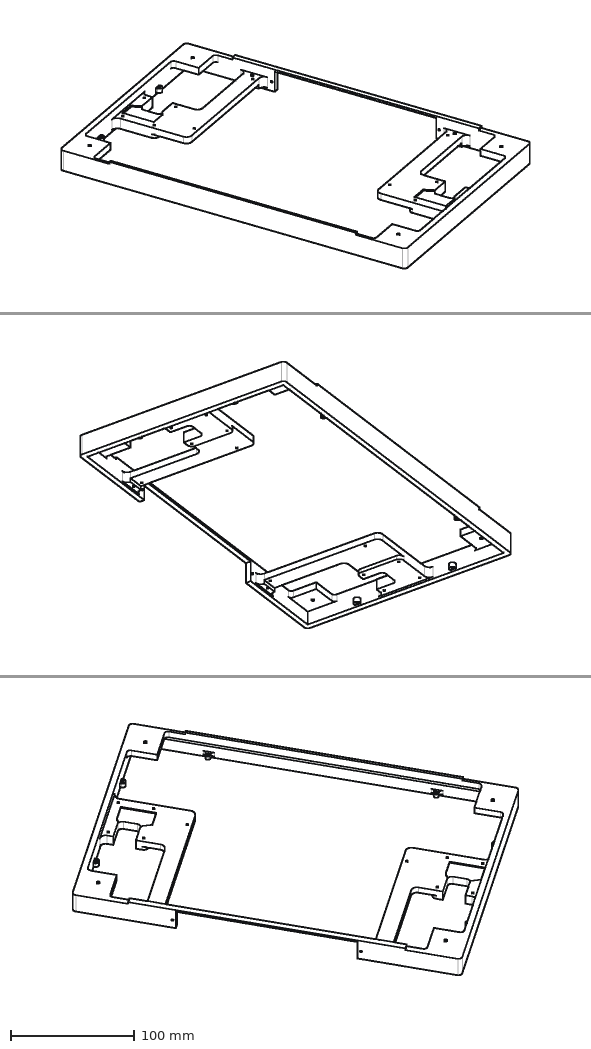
import cadquery as cq
LENGTH = 324.5
WIDTH = 203.0
HEIGHT = 20.8
LIP_HEIGHT = 2.0
WALL_TOP = HEIGHT - LIP_HEIGHT
SIDE_WALL = 5.5
END_WALL = 5.0
INNER_X = LENGTH / 2 - SIDE_WALL
INNER_Y = WIDTH / 2 - END_WALL
OUTER_RADIUS = 3.2
INNER_RADIUS = 3.0

LIP_LENGTH = 231.0
FRONT_LIP_WALL = 2.3

WINDOW_LENGTH = 151.2

PAD_X = 132.0
PAD_Y = 71.0
PAD_THICKNESS = 6.5
PAD_BOTTOM = WALL_TOP - PAD_THICKNESS
PAD_HOLE_X = 144.8
PAD_HOLE_Y = 83.0

SCREW_HOLE = 1.6
PAD_HOLE = 2.5

MOUNT_BOTTOM = 2.0

EAR_TOP = 6.2
SIDE_EAR_Y = 47.0
SIDE_EAR_RADIUS = 3.0
SIDE_EAR_REACH = 1.3
END_EAR_X = 95.0
END_EAR_RADIUS = 2.1
END_EAR_REACH = 3.08
END_EAR_FLARE = 2.5
COUNTERBORE = 2.5
COUNTERBORE_DEPTH = 1.5

PLATE_TOP = 11.7
PLATE_THICKNESS = 6.2
PLATE_BOTTOM = PLATE_TOP - PLATE_THICKNESS
PLATE_Y = 21.7
ARM_INNER_X = 87.5
ARM_OUTER_X = 102.5
PLATE_RADIUS = 5.0
PLATE_HOLES = [(152.0, 17.5), (152.0, -17.2), (122.5, 17.5), (122.5, -17.2), (91.5, -5.5), (91.5, 88.3)]

THICK_X = 118.0
THICK_RADIUS = 4.2

SLOT_INNER_X = 128.0
SLOT_OUTER_X = 146.7
SLOT_END_Y = 2.0
SLOT_RADIUS = 3.5
POCKET_LENGTH = 29.5
POCKET_FRONT_Y = -13.0
POCKET_SHOULDER_Y = 1.3
POCKET_BACK_Y = 5.0
POCKET_DEPTH = 1.3
POCKET_LEFT_X = (-154.8, 119.0)
POCKET_LEFT_RUN = 8.0
POCKET_RIGHT_RUN = 2.5

WALL_HOLE_X = 78.5
WALL_HOLE_Z = 8.8

SIDES = (-1, 1)


def block(x_range, y_range, z_range):
    """A box between the given limits along X, Y and Z."""
    size = [high - low for low, high in (x_range, y_range, z_range)]
    corner = (x_range[0], y_range[0], z_range[0])
    return cq.Workplane("XY").box(*size, centered=False).translate(corner)


def upright_holes(points, diameter):
    return cq.Workplane("XY").pushPoints(points).circle(diameter / 2).extrude(HEIGHT)


def corner_filler(x, y, x_side, y_side, radius, z_range):
    """Concave fillet in the corner at (x, y), between faces leaving along x_side and y_side."""
    low, high = z_range
    far_x = x + x_side * radius
    far_y = y + y_side * radius
    square = cq.Workplane("XY").rect(radius, radius).extrude(high - low)
    square = square.translate(((x + far_x) / 2, (y + far_y) / 2, low))
    round_cut = cq.Workplane("XY").circle(radius).extrude(high - low).translate((far_x, far_y, low))
    return square.cut(round_cut)


def frame():
    body = cq.Workplane("XY").rect(LENGTH, WIDTH).extrude(HEIGHT)
    body = body.edges("|Z").fillet(OUTER_RADIUS)

    body = body.cut(block((-INNER_X, INNER_X), (-INNER_Y, INNER_Y), (0, PAD_BOTTOM)))
    upper = (PAD_BOTTOM, HEIGHT)
    between_sides = block((-INNER_X, INNER_X), (-PAD_Y, PAD_Y), upper)
    front_y = FRONT_LIP_WALL - WIDTH / 2
    between_ends = block((-PAD_X, PAD_X), (front_y, INNER_Y), upper)
    for opening in (between_sides, between_ends):
        body = body.cut(opening.edges("|Z").fillet(INNER_RADIUS))

    above = cq.Workplane("XY").workplane(offset=WALL_TOP).rect(LENGTH, WIDTH).extrude(LIP_HEIGHT)
    lips = cq.Workplane("XY").workplane(offset=WALL_TOP).rect(LIP_LENGTH, WIDTH).extrude(LIP_HEIGHT)
    body = body.cut(above.cut(lips))

    window_x = (-WINDOW_LENGTH / 2, WINDOW_LENGTH / 2)
    body = body.cut(block(window_x, (INNER_Y, WIDTH / 2), (0, WALL_TOP)))

    pad_holes = [(sx * PAD_HOLE_X, sy * PAD_HOLE_Y) for sx in SIDES for sy in SIDES]
    body = body.cut(upright_holes(pad_holes, PAD_HOLE))
    wall_holes = cq.Workplane("XZ").pushPoints([(side * WALL_HOLE_X, WALL_HOLE_Z) for side in SIDES])
    return body.cut(wall_holes.circle(SCREW_HOLE / 2).extrude(-WIDTH / 2))


def counterbored_hole(top):
    """Counterbored hole on the Z axis, with its mouth at the given level."""
    bore = cq.Workplane("XY").circle(SCREW_HOLE / 2).extrude(top)
    mouth = cq.Workplane("XY").workplane(offset=top).circle(COUNTERBORE / 2).extrude(-COUNTERBORE_DEPTH)
    return bore.union(mouth)


def ear(radius, reach):
    """Round-ended ear on a wall along Y = 0, reaching toward +Y."""
    outline = cq.Workplane("XY").workplane(offset=MOUNT_BOTTOM).moveTo(-radius, 0)
    outline = outline.lineTo(-radius, reach)
    outline = outline.threePointArc((0, reach + radius), (radius, reach))
    outline = outline.lineTo(radius, 0).close()
    return outline.extrude(EAR_TOP - MOUNT_BOTTOM).cut(counterbored_hole(EAR_TOP).translate((0, reach, 0)))


def flared_ear():
    """Ear whose sides run into the wall through concave fillets."""
    body = ear(END_EAR_RADIUS, END_EAR_REACH)
    for side in SIDES:
        x = side * END_EAR_RADIUS
        body = body.union(corner_filler(x, 0, side, 1, END_EAR_FLARE, (MOUNT_BOTTOM, EAR_TOP)))
    return body


def right_plate():
    """Plate on the +X side, without its pocket."""
    z_range = (PLATE_BOTTOM, PLATE_TOP)
    thick_range = (MOUNT_BOTTOM, PLATE_TOP)
    pad = block((ARM_INNER_X, INNER_X), (-PLATE_Y, PLATE_Y), z_range)
    pad = pad.edges("|Z and <X and <Y").fillet(PLATE_RADIUS)
    arm = block((ARM_INNER_X, ARM_OUTER_X), (0, INNER_Y), z_range)
    thick = block((THICK_X, INNER_X), (-PLATE_Y, PLATE_Y), thick_range)
    thick = thick.edges("|Z and <X").fillet(THICK_RADIUS)
    arm_end = block((ARM_INNER_X, ARM_OUTER_X), (INNER_Y - PLATE_RADIUS, INNER_Y), thick_range)
    plate = pad.union(arm).union(thick).union(arm_end)

    plate = plate.union(corner_filler(ARM_OUTER_X, PLATE_Y, 1, 1, PLATE_RADIUS, z_range))
    plate = plate.union(corner_filler(ARM_OUTER_X, INNER_Y, 1, -1, PLATE_RADIUS, thick_range))
    plate = plate.union(corner_filler(ARM_INNER_X, INNER_Y, -1, -1, PLATE_RADIUS, thick_range))
    for side in SIDES:
        plate = plate.union(corner_filler(INNER_X, side * PLATE_Y, -1, side, PLATE_RADIUS, thick_range))

    slot = block((SLOT_INNER_X, SLOT_OUTER_X), (SLOT_END_Y, 2 * PLATE_Y), (0, HEIGHT))
    slot = slot.edges("|Z and <Y").fillet(SLOT_RADIUS)
    mount_hole = counterbored_hole(PLATE_TOP).translate((END_EAR_X, INNER_Y - END_EAR_REACH, 0))
    return plate.cut(slot).cut(upright_holes(PLATE_HOLES, SCREW_HOLE)).cut(mount_hole)


def pocket(left_x):
    """Shallow pocket with sloping shoulders, open at the back to the slot."""
    right_x = left_x + POCKET_LENGTH
    outline = [
        (left_x, POCKET_FRONT_Y),
        (right_x, POCKET_FRONT_Y),
        (right_x, POCKET_SHOULDER_Y),
        (right_x - POCKET_RIGHT_RUN, POCKET_BACK_Y),
        (left_x + POCKET_LEFT_RUN, POCKET_BACK_Y),
        (left_x, POCKET_SHOULDER_Y),
    ]
    floor = cq.Workplane("XY").workplane(offset=PLATE_TOP - POCKET_DEPTH)
    return floor.polyline(outline).close().extrude(POCKET_DEPTH)


result = frame()

plate = right_plate()
result = result.union(plate).union(plate.mirror("YZ"))
for left_x in POCKET_LEFT_X:
    result = result.cut(pocket(left_x))

for side in SIDES:
    result = result.union(flared_ear().translate((side * END_EAR_X, -INNER_Y, 0)))
    side_ear = ear(SIDE_EAR_RADIUS, SIDE_EAR_REACH).rotate((0, 0, 0), (0, 0, 1), side * 90)
    for ear_y in (-SIDE_EAR_Y, SIDE_EAR_Y):
        result = result.union(side_ear.translate((side * INNER_X, ear_y, 0)))